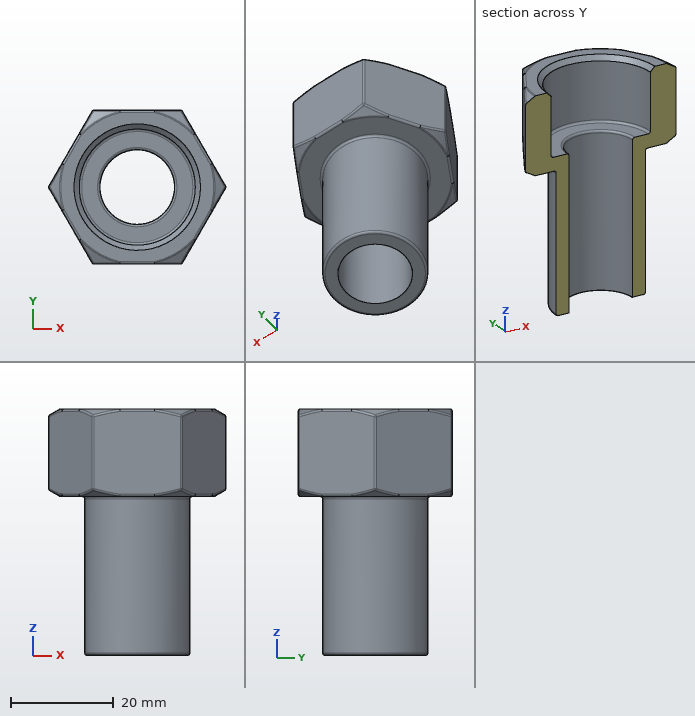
import cadquery as cq
import math

across_flats = 30.0
head_height = 17.1
chamfer_angle = 30
chamfer_circle_diameter = 30.05

total_height = 48
shank_diameter = 20.5

through_diameter = 14.5
socket_diameter = 22.6
socket_mouth_diameter = 24.6
socket_depth = 14.0

envelope_clearance = 0.5
edge_radius = 0.5

head_bottom = total_height - head_height
socket_floor = total_height - socket_depth
corner_diameter = across_flats / math.cos(math.radians(30))
arc_inset = edge_radius * (1 - math.sqrt(0.5))


def corner_chamfer_envelope():
    """Solid of revolution whose conical ends trim the hexagon corners."""
    end_radius = chamfer_circle_diameter / 2
    outer_radius = corner_diameter / 2 + envelope_clearance
    drop = (outer_radius - end_radius) * math.tan(math.radians(chamfer_angle))
    return (
        cq.Workplane("XZ")
        .moveTo(0, head_bottom)
        .lineTo(end_radius, head_bottom)
        .lineTo(outer_radius, head_bottom + drop)
        .lineTo(outer_radius, total_height - drop)
        .lineTo(end_radius, total_height)
        .lineTo(0, total_height)
        .close()
        .revolve(360, (0, 0, 0), (0, 1, 0))
    )


def hexagonal_head():
    """Hexagon with two corners on the X axis and every edge rounded."""
    prism = (
        cq.Workplane("XY", origin=(0, 0, head_bottom))
        .polygon(6, corner_diameter)
        .extrude(head_height)
    )
    return prism.intersect(corner_chamfer_envelope()).edges().fillet(edge_radius)


def shank():
    """Plain cylinder with a rounded free end."""
    return (
        cq.Workplane("XY")
        .circle(shank_diameter / 2)
        .extrude(head_bottom)
        .faces("<Z")
        .edges()
        .fillet(edge_radius)
    )


def bore():
    """Cutter: chamfered socket with a rounded floor corner, then a through hole with a rounded rim."""
    mouth_radius = socket_mouth_diameter / 2
    socket_radius = socket_diameter / 2
    through_radius = through_diameter / 2
    mouth_chamfer = mouth_radius - socket_radius
    return (
        cq.Workplane("XZ")
        .lineTo(through_radius, 0)
        .lineTo(through_radius, socket_floor - edge_radius)
        .threePointArc(
            (through_radius + arc_inset, socket_floor - arc_inset),
            (through_radius + edge_radius, socket_floor),
        )
        .lineTo(socket_radius - edge_radius, socket_floor)
        .threePointArc(
            (socket_radius - arc_inset, socket_floor + arc_inset),
            (socket_radius, socket_floor + edge_radius),
        )
        .lineTo(socket_radius, total_height - mouth_chamfer)
        .lineTo(mouth_radius, total_height)
        .lineTo(0, total_height)
        .close()
        .revolve(360, (0, 0, 0), (0, 1, 0))
    )


def root_fillet():
    """Ring that rounds the corner between the shank and the underside of the head."""
    root_radius = shank_diameter / 2
    return (
        cq.Workplane("XZ")
        .moveTo(root_radius, head_bottom)
        .lineTo(root_radius, head_bottom - edge_radius)
        .threePointArc(
            (root_radius + arc_inset, head_bottom - arc_inset),
            (root_radius + edge_radius, head_bottom),
        )
        .close()
        .revolve(360, (0, 0, 0), (0, 1, 0))
    )


result = hexagonal_head().union(shank()).union(root_fillet()).cut(bore())